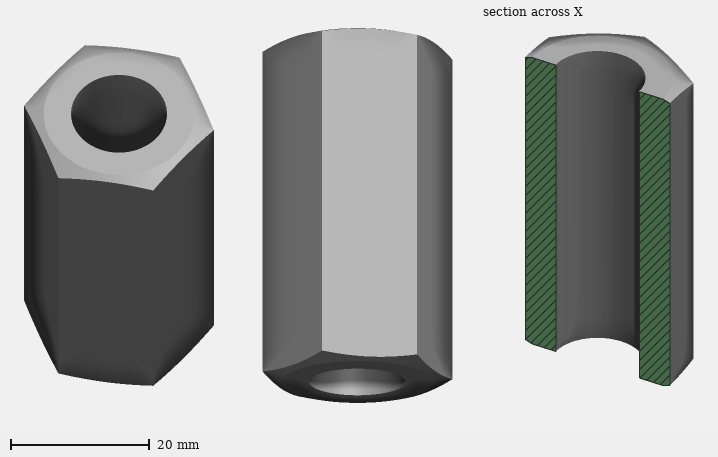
import cadquery as cq
import math

length = 50.0
across_flats = 24.0
bore_diameter = 13.85
face_diameter = 21.75
corner_drop = 1.0

across_corners = across_flats / math.cos(math.radians(30))
corner_radius = across_corners / 2
face_radius = face_diameter / 2


def hexagonal_bar():
    """Hexagonal prism along Z, with two corners on the X axis."""
    return cq.Workplane("XY").polygon(6, across_corners).extrude(length)


def conical_end_envelope():
    """Turned solid whose conical ends trim the hexagon corners."""
    return (
        cq.Workplane("XZ")
        .moveTo(0, 0)
        .lineTo(face_radius, 0)
        .lineTo(corner_radius, corner_drop)
        .lineTo(corner_radius, length - corner_drop)
        .lineTo(face_radius, length)
        .lineTo(0, length)
        .close()
        .revolve(360, (0, 0, 0), (0, 1, 0))
    )


def through_bore():
    return cq.Workplane("XY").circle(bore_diameter / 2).extrude(length)


result = hexagonal_bar().intersect(conical_end_envelope()).cut(through_bore())